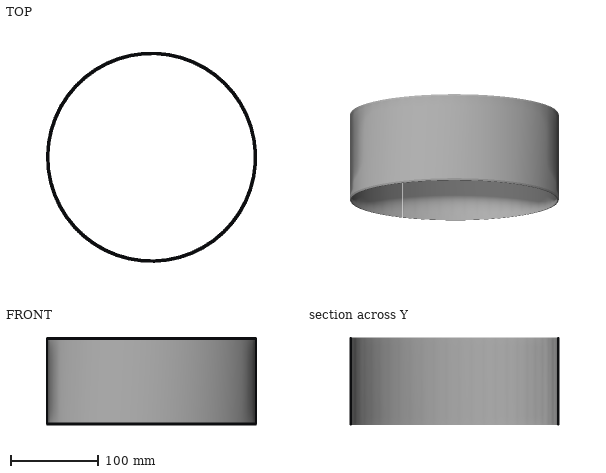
import cadquery as cq
import math

outer_diameter = 240.0
height = 100.0
wall = 2.2

bevel_height = 2.0
bevel_depth = 0.7

split_gap = 2.0

outer_radius = outer_diameter / 2
inner_radius = outer_radius - wall
rim_radius = outer_radius - bevel_depth
split_angle = math.degrees(split_gap / outer_radius)


def make_wall_section():
    """Wall cross-section in the XZ plane, on the -X side of the axis."""
    return (
        cq.Workplane("XZ")
        .moveTo(-inner_radius, 0)
        .lineTo(-rim_radius, 0)
        .lineTo(-outer_radius, bevel_height)
        .lineTo(-outer_radius, height - bevel_height)
        .lineTo(-rim_radius, height)
        .lineTo(-inner_radius, height)
        .close()
    )


result = make_wall_section().revolve(360 - split_angle, (0, 0, 0), (0, 1, 0))